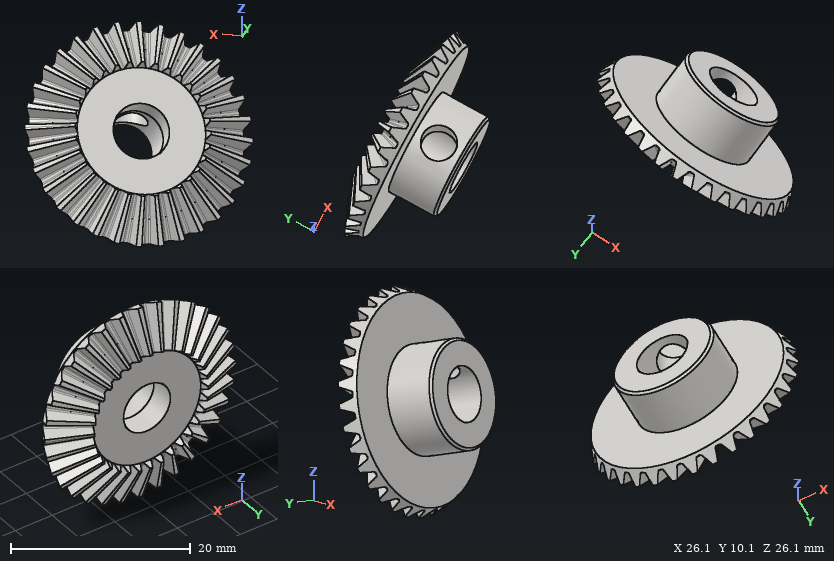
import cadquery as cq
import math


tooth_count = 32
pitch_angle = math.atan(2)
outer_radius = 13.05
overall_length = 10.08
tooth_depth = 1.62
toe_tip_radius = 7.75

hub_radius = 6.32
hub_length = 6.03
hub_chamfer = 0.3
bore_radius = 3.19
screw_hole_radius = 2.04
screw_hole_offset = 3.13

tip_edge_height = 7.95
gap_floor_half_width = 0.31
gap_floor_fillet = 0.2
flank_angle = math.radians(22)
root_slope = 0.54

cutter_height = 1.5 * tooth_depth
cutter_heel_scale = 1.2
cutter_toe_scale = 0.4

cone_radial = math.cos(pitch_angle)
cone_axial = math.sin(pitch_angle)
cone_slope = cone_radial / cone_axial

root_radius = outer_radius - tooth_depth * cone_radial
root_height = tip_edge_height - tooth_depth * cone_axial
apex_height = root_height + root_slope * root_radius

apex_to_tip = overall_length - apex_height
toe_root_radius = (toe_tip_radius - cone_slope * apex_to_tip) / (1 + cone_slope * root_slope)
toe_root_height = apex_height - root_slope * toe_root_radius

back_radius = outer_radius - cone_slope * (tip_edge_height - hub_length)


def make_blank():
    """Gear blank: back cone, tip cone, toe cone and flat front face around the bore."""
    half_section = [
        (bore_radius, hub_length),
        (back_radius, hub_length),
        (outer_radius, tip_edge_height),
        (toe_tip_radius, overall_length),
        (toe_root_radius, toe_root_height),
        (bore_radius, toe_root_height),
    ]
    return cq.Workplane("XY").polyline(half_section).close().revolve(360, (0, 0, 0), (0, 1, 0))


def gap_section(scale):
    """Closed outline of a tooth gap, shrunk toward the apex by the given scale."""
    origin = (0, apex_height - scale * root_slope * root_radius, scale * root_radius)
    plane = cq.Plane(origin=origin, xDir=(1, 0, 0), normal=(0, -cone_radial, cone_axial))

    tangent_length = gap_floor_fillet * math.tan((math.pi / 2 - flank_angle) / 2)
    floor_x = scale * (gap_floor_half_width - tangent_length)
    flank_x = scale * (gap_floor_half_width + tangent_length * math.sin(flank_angle))
    flank_y = scale * tangent_length * math.cos(flank_angle)
    top_x = scale * (gap_floor_half_width + cutter_height * math.tan(flank_angle))
    top_y = scale * cutter_height

    outline = (
        cq.Workplane(plane)
        .moveTo(-floor_x, 0)
        .lineTo(floor_x, 0)
        .tangentArcPoint((flank_x, flank_y), relative=False)
        .lineTo(top_x, top_y)
        .lineTo(-top_x, top_y)
        .lineTo(-flank_x, flank_y)
        .tangentArcPoint((-floor_x, 0), relative=False)
        .close()
    )
    return outline.val()


def make_gear():
    """Toothed gear: a blank with equally spaced tapered tooth gaps."""
    gap = cq.Solid.makeLoft([gap_section(cutter_heel_scale), gap_section(cutter_toe_scale)], True)
    pitch = 360 / tooth_count
    gear = make_blank()
    gaps = [
        gap.rotate(cq.Vector(0, 0, 0), cq.Vector(0, 1, 0), (i + 0.5) * pitch)
        for i in range(tooth_count)
    ]
    return gear.newObject([gear.val().cut(*gaps)])


def make_hub():
    """Hub behind the gear, with the bore and a set screw hole through its +Z wall."""
    hub = cq.Workplane("XZ").circle(hub_radius).extrude(-hub_length)
    hub = hub.faces("<Y").chamfer(hub_chamfer)
    bore = cq.Workplane("XZ").circle(bore_radius).extrude(-hub_length)
    screw_hole = cq.Workplane("XY").center(0, screw_hole_offset).circle(screw_hole_radius)
    screw_hole = screw_hole.extrude(hub_radius)
    return hub.cut(bore).cut(screw_hole)


gear = make_gear()
hub = make_hub()

result = cq.Compound.makeCompound([gear.val(), hub.val()])